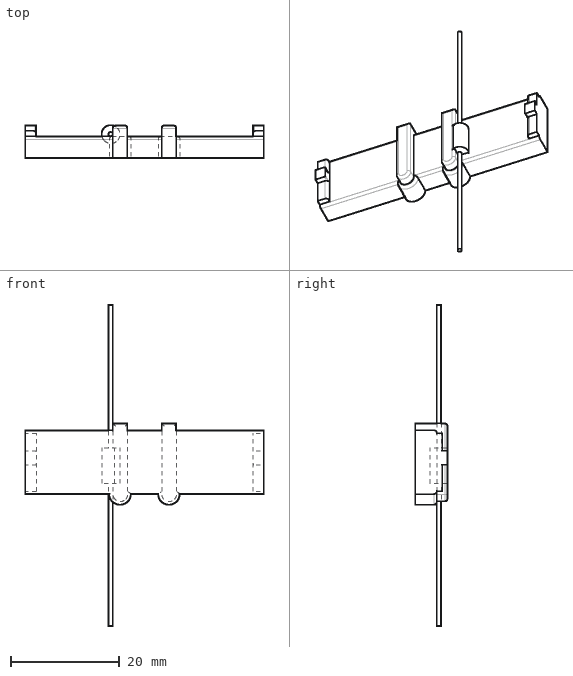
import cadquery as cq

plate_length = 44.0
plate_depth = 4.0
plate_height = 11.75
edge_radius = 0.5

rib_spacing = 9.0
rib_width = 2.7
rib_back = 6.0
rib_overhang = 1.25

lobe_radius = 2.0

pad_length = 2.0
pad_inset = 0.55
pad_back = 5.0
block_height = 2.6
block_back = 6.0
block_corner_radius = 0.2
block_centre_z = 0.8

component_diameter = 3.35
component_length = 6.5
component_back = 6.08
component_x = -6.25
component_z = -0.625
lead_diameter = 0.8
lead_span = 59.25

plate_top = plate_height / 2
plate_bottom = -plate_height / 2
component_y = component_back - component_diameter / 2
lead_length = (lead_span - component_length) / 2
rib_positions = (-rib_spacing / 2, rib_spacing / 2)


def box(x_min, x_max, y_min, y_max, z_min, z_max):
    """Block between the given limits."""
    size = (x_max - x_min, y_max - y_min, z_max - z_min)
    return cq.Workplane("XY").box(*size, centered=False).translate((x_min, y_min, z_min))


def upright_cylinder(diameter, length, z_min):
    """Cylinder on the component axis, parallel to Z."""
    base = cq.Workplane("XY").workplane(offset=z_min).center(component_x, component_y)
    return base.circle(diameter / 2).extrude(length)


def make_plate():
    """Plate with its long back edges rounded."""
    half = plate_length / 2
    plate = box(-half, half, 0, plate_depth, plate_bottom, plate_top)
    return plate.edges("|X and >Y").fillet(edge_radius)


def make_lobe(x):
    """Round lobe on the bottom edge of the plate, with its back rim rounded."""
    disc = cq.Workplane("XZ").center(x, plate_bottom).circle(lobe_radius).extrude(-plate_depth)
    return disc.faces(">Y").edges().fillet(edge_radius)


def make_rib(x):
    """Rib with a square top, a round bottom end and a rounded back rim."""
    half = rib_width / 2
    top = plate_top + rib_overhang
    outline = (
        cq.Workplane("XZ")
        .moveTo(x - half, top)
        .lineTo(x + half, top)
        .lineTo(x + half, plate_bottom)
        .threePointArc((x, plate_bottom - half), (x - half, plate_bottom))
        .close()
    )
    return outline.extrude(-rib_back).faces(">Y").edges().fillet(edge_radius)


def make_end_pad(side):
    """Pad and block at the left (-1) or right (+1) end, with their inner edges rounded."""
    outer = side * plate_length / 2
    inner = outer - side * pad_length
    x_min = min(outer, inner)
    x_max = max(outer, inner)
    pad = box(x_min, x_max, 0, pad_back, plate_bottom + pad_inset, plate_top - pad_inset)
    block_bottom = block_centre_z - block_height / 2
    block = box(x_min, x_max, 0, block_back, block_bottom, block_bottom + block_height)
    inner_side = "<X" if side > 0 else ">X"
    pad = pad.faces(inner_side).edges(">Y").fillet(edge_radius)
    block = block.faces(inner_side).edges("|Y").fillet(block_corner_radius)
    return pad.union(block)


def make_component_body():
    """Cylindrical component body."""
    return upright_cylinder(component_diameter, component_length, component_z - component_length / 2)


def make_lead(side):
    """Wire lead starting at the lower (-1) or upper (+1) end of the component body."""
    start = component_z + side * component_length / 2
    return upright_cylinder(lead_diameter, lead_length, min(start, start + side * lead_length))


def make_housing():
    """Plate with ribs, lobes and end pads, and the groove for the component body."""
    housing = make_plate()
    for x in rib_positions:
        housing = housing.union(make_lobe(x)).union(make_rib(x))
    for side in (-1, 1):
        housing = housing.union(make_end_pad(side))
    return housing.cut(make_component_body())


housing = make_housing()
component_body = make_component_body()
leads = [make_lead(side) for side in (-1, 1)]

result = cq.Compound.makeCompound(
    [housing.val(), component_body.val(), *[lead.val() for lead in leads]]
)